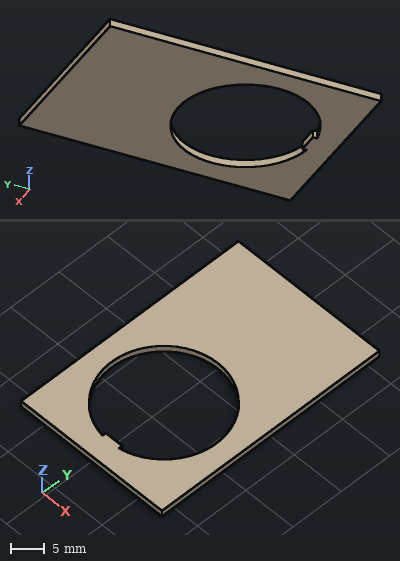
import cadquery as cq

plate_width = 30.0
plate_length = 45.0
plate_thickness = 1.3

hole_diameter = 22.25
hole_center_y = -7.5

tab_width = 3.5
tab_face_distance = 10.3


def make_plate():
    return cq.Workplane("XY").rect(plate_width, plate_length).extrude(plate_thickness)


def make_opening():
    """Cylinder for the opening, with the tab left out of it."""
    hole_radius = hole_diameter / 2
    cylinder = (
        cq.Workplane("XY")
        .center(0, hole_center_y)
        .circle(hole_radius)
        .extrude(plate_thickness)
    )
    tab_depth = hole_radius - tab_face_distance
    tab = (
        cq.Workplane("XY")
        .center(0, hole_center_y - tab_face_distance - tab_depth / 2)
        .rect(tab_width, tab_depth)
        .extrude(plate_thickness)
    )
    return cylinder.cut(tab)


result = make_plate().cut(make_opening())